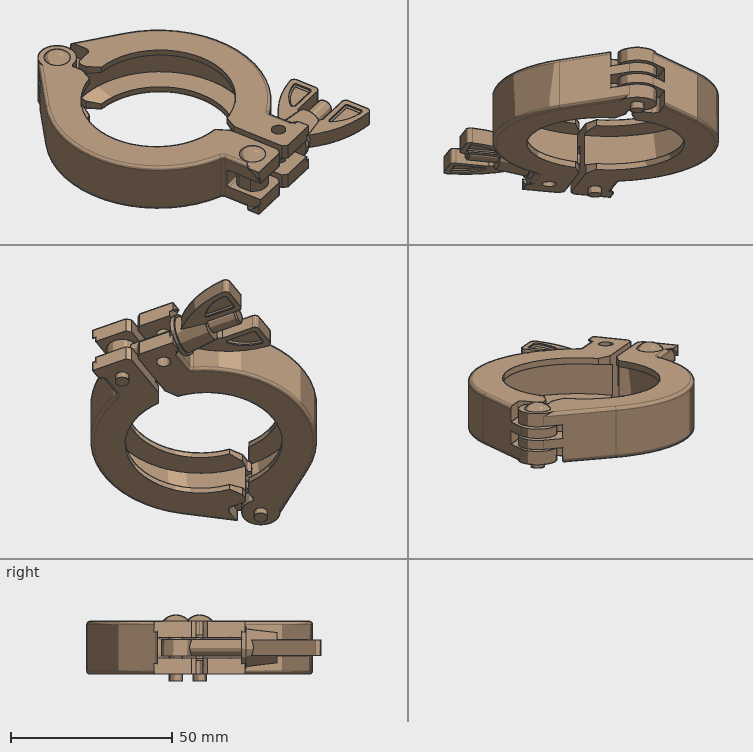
import cadquery as cq
import math

half_height = 8.2
ring_radius = 35.0
half_gap = 1.1
bore_radius = 23.3
groove_radius = 29.3
lip_edge = 2.0
groove_rise = 1.3
edge_radius = 1.1
outer_edge_limit_y = -9.8

bevel_x = 27.45
bevel_run = 4.3
bevel_drop = 2.3

hinge_x = -37.4
knuckle_radius = 6.0
pocket_x = -30.8
pocket_depth = 8.6
pocket_mouth_round = 1.7
knuckle_fillet = 1.0
lower_half_pockets = [(-half_height, -3.3, 2.15), (-0.4, 4.0, None)]
upper_half_pockets = [(-3.9, 0.3, None), (3.2, half_height, 1.7)]

boss_x = 46.5
boss_chamfer = 1.4
wall_y = 13.0
lip_y = 14.1
lip_start_x = 40.7
lip_full_x = 42.5
spotface_radius = 8.3
slot_end_x = 34.1
slot_height = 6.4
slot_fillet = 0.6
bolt_x = 39.8
bolt_hole_y = 7.3
open_hole_diameter = 4.4

rivet_diameter = 4.2
rivet_bottom = -10.4
head_diameter = 8.1
head_height = 2.0

bolt_diameter = 5.2
bolt_end_y = 33.8
bolt_chamfer = 0.5
eye_diameter = 10.0
eye_height = 5.2
eye_flat = 4.5

washer_diameter = 13.0
washer_top_y = 14.4

hub_bottom_radius = 5.9
hub_top_radius = 4.7
hub_top_y = 24.0
wing_top_y = 37.5
wing_inner = 4.6
wing_outer = 14.7
wing_curve_middle = (12.0, 26.2)
wing_tip = (4.9, 15.9)
wing_root_width = 1.0
wing_root_height = 1.4
wing_thickness = 4.9
wing_round = 1.5
recess_depth = 1.0
recess_bevel = 0.5
recess_round = 0.7
recess_outer = 12.6
recess_top_y = 35.8
recess_arc_middle = (11.2, 30.3)
recess_arc_end = (6.35, 25.1)


def prism(outline, bottom, top):
    """Extrude a closed XY outline between two heights."""
    return outline.extrude(top - bottom).translate((0, 0, bottom))


def cylinder_z(x, y, diameter, bottom, top):
    return prism(cq.Workplane("XY").center(x, y).circle(diameter / 2), bottom, top)


def cylinder_y(diameter, start_y, end_y):
    """Cylinder on the bolt axis, which runs along Y."""
    return (
        cq.Workplane("XZ", origin=(bolt_x, start_y, 0))
        .circle(diameter / 2)
        .extrude(start_y - end_y)
    )


def half_blank():
    """Ring, flank and boss of the lower half, with rounded outer edges."""
    normal_angle = math.acos((ring_radius - knuckle_radius) / -hinge_x)
    normal_x = -math.cos(normal_angle)
    normal_y = -math.sin(normal_angle)
    wall_start_x = math.sqrt(ring_radius**2 - wall_y**2)
    outline = (
        cq.Workplane("XY")
        .moveTo(hinge_x, -half_gap)
        .lineTo(hinge_x + knuckle_radius * normal_x, knuckle_radius * normal_y)
        .lineTo(ring_radius * normal_x, ring_radius * normal_y)
        .threePointArc((0, -ring_radius), (wall_start_x, -wall_y))
        .lineTo(boss_x, -wall_y)
        .lineTo(boss_x, -half_gap)
        .close()
    )
    blank = prism(outline, -half_height, half_height)
    blank = blank.edges(cq.NearestToPointSelector((wall_start_x, -wall_y, 0))).fillet(edge_radius)
    outer_edges = [
        edge
        for edge in blank.faces("<Z or >Z").edges().vals()
        if edge.positionAt(0.5).y < outer_edge_limit_y
    ]
    return blank.newObject(outer_edges).fillet(edge_radius)


def boss_lip():
    """Raised end of the boss, cut back by the spotface around the bolt."""
    outline = cq.Workplane("XY").polyline(
        [
            (lip_start_x, edge_radius - wall_y),
            (lip_full_x, -lip_y),
            (boss_x, -lip_y),
            (boss_x, edge_radius - wall_y),
        ]
    ).close()
    return prism(outline, -half_height, half_height).cut(
        cylinder_y(2 * spotface_radius, -lip_y, -wall_y)
    )


def bore():
    """Bore with a sloping-sided groove between its two lips."""
    lip_z = half_height - lip_edge
    groove_z = lip_z - groove_rise
    profile = cq.Workplane("XZ", origin=(0, -half_gap, 0)).polyline(
        [
            (0, -half_height),
            (bore_radius, -half_height),
            (bore_radius, -lip_z),
            (groove_radius, -groove_z),
            (groove_radius, groove_z),
            (bore_radius, lip_z),
            (bore_radius, half_height),
            (0, half_height),
        ]
    ).close()
    return profile.revolve(360, (0, 0, 0), (0, 1, 0))


def lead_in(side):
    """Wedge that bevels the bore lips beside one mating face."""
    inner_x = bevel_x - 2 * bevel_run
    outline = cq.Workplane("XY").polyline(
        [
            (side * bevel_x, -half_gap),
            (side * inner_x, -half_gap - 2 * bevel_drop),
            (side * inner_x, -half_gap),
        ]
    ).close()
    return prism(outline, -half_height, half_height)


def hinge_pocket(bottom, top, corner_round):
    """Clearance around a knuckle of the other half."""
    outside_x = hinge_x - 2 * knuckle_radius
    mouth_x = pocket_x + pocket_mouth_round
    outline = (
        cq.Workplane("XY")
        .moveTo(outside_x, -pocket_depth)
        .lineTo(pocket_x, -pocket_depth)
        .lineTo(pocket_x, -half_gap - pocket_mouth_round)
        .radiusArc((mouth_x, -half_gap), pocket_mouth_round)
        .lineTo(mouth_x, knuckle_radius)
        .lineTo(outside_x, knuckle_radius)
        .close()
    )
    pocket = prism(outline, bottom, top)
    if corner_round:
        middle = (bottom + top) / 2
        corner = cq.NearestToPointSelector((pocket_x, -pocket_depth, middle))
        pocket = pocket.edges(corner).fillet(corner_round)
    return pocket


def clamp_half(pockets, boss_hole_diameter):
    """Lower clamp half; the upper half is its mirror image with other pockets."""
    half = half_blank().union(boss_lip())
    half = half.edges(cq.NearestToPointSelector((boss_x, -half_gap, 0))).chamfer(boss_chamfer)
    half = half.union(cylinder_z(hinge_x, 0, 2 * knuckle_radius, -half_height, half_height))
    knuckle_root_x = hinge_x + math.sqrt(knuckle_radius**2 - half_gap**2)
    half = half.edges(cq.NearestToPointSelector((knuckle_root_x, -half_gap, 0))).fillet(knuckle_fillet)
    half = half.cut(bore())
    for side in (-1, 1):
        half = half.cut(lead_in(side))
    for bottom, top, corner_round in pockets:
        half = half.cut(hinge_pocket(bottom, top, corner_round))
    half = half.cut(cylinder_z(hinge_x, 0, rivet_diameter, -half_height, half_height))
    half = half.cut(cylinder_z(bolt_x, -bolt_hole_y, boss_hole_diameter, -half_height, half_height))
    slot = cq.Workplane("XY").box(boss_x - slot_end_x, lip_y, slot_height, centered=(False, False, True))
    slot = slot.edges("<X and |Y").fillet(slot_fillet)
    return half.cut(slot.translate((slot_end_x, -lip_y, 0)))


def rivet(x, y):
    """Rivet with a domed head resting on the clamp."""
    dome_radius = ((head_diameter / 2) ** 2 + head_height**2) / (2 * head_height)
    head_top = half_height + head_height
    dome = cq.Workplane("XY").sphere(dome_radius).translate((x, y, head_top - dome_radius))
    head = dome.intersect(cylinder_z(x, y, head_diameter, half_height, head_top))
    return head.union(cylinder_z(x, y, rivet_diameter, rivet_bottom, half_height))


def swing_bolt():
    """Bolt whose flat-ended eye turns on the boss rivet."""
    eye = cylinder_z(bolt_x, -bolt_hole_y, eye_diameter, -eye_height / 2, eye_height / 2)
    beyond_flat = cq.Workplane("XY").box(eye_diameter, eye_diameter, eye_height)
    eye = eye.cut(beyond_flat.translate((bolt_x, -bolt_hole_y - eye_flat - eye_diameter / 2, 0)))
    shank = cylinder_y(bolt_diameter, -bolt_hole_y, bolt_end_y).faces(">Y").chamfer(bolt_chamfer)
    hole = cylinder_z(bolt_x, -bolt_hole_y, rivet_diameter, -bolt_diameter, bolt_diameter)
    return eye.union(shank).cut(hole)


def washer():
    """Flat ring between the boss wall and the nut."""
    ring = cylinder_y(washer_diameter, wall_y, washer_top_y)
    return ring.cut(cylinder_y(bolt_diameter, wall_y, washer_top_y))


def wing():
    """Wing on the +X side of the nut, with a recess in both faces."""
    outline = (
        cq.Workplane("XY")
        .moveTo(0, hub_top_y)
        .lineTo(wing_inner - wing_root_width, hub_top_y)
        .lineTo(wing_inner, hub_top_y + wing_root_height)
        .lineTo(wing_inner, wing_top_y)
        .lineTo(wing_outer, wing_top_y)
        .threePointArc(wing_curve_middle, wing_tip)
        .lineTo(0, wing_tip[1])
        .close()
    )
    body = prism(outline, -wing_thickness / 2, wing_thickness / 2)
    for corner_x in (wing_inner, wing_outer):
        body = body.edges(cq.NearestToPointSelector((corner_x, wing_top_y, 0))).fillet(wing_round)
    recess = (
        cq.Workplane("XY", origin=(0, 0, wing_thickness / 2))
        .moveTo(recess_arc_end[0], recess_top_y)
        .lineTo(recess_outer, recess_top_y)
        .threePointArc(recess_arc_middle, recess_arc_end)
        .close()
        .extrude(-recess_depth)
        .edges("|Z")
        .fillet(recess_round)
        .faces("<Z")
        .chamfer(recess_bevel)
    )
    return body.cut(recess).cut(recess.mirror("XY"))


def wing_nut():
    """Conical hub with two wings, seated on the washer."""
    hub = (
        cq.Workplane("XY")
        .polyline(
            [
                (0, washer_top_y),
                (hub_bottom_radius, washer_top_y),
                (hub_top_radius, hub_top_y),
                (0, hub_top_y),
            ]
        )
        .close()
        .revolve(360, (0, 0, 0), (0, 1, 0))
    )
    nut = hub.union(wing()).union(wing().mirror("YZ")).translate((bolt_x, 0, 0))
    return nut.cut(cylinder_y(bolt_diameter, washer_top_y, bolt_end_y))


lower_half = clamp_half(lower_half_pockets, rivet_diameter)
upper_half = clamp_half(upper_half_pockets, open_hole_diameter).mirror("XZ")
rivets = [rivet(x, y) for x, y in ((hinge_x, 0), (bolt_x, -bolt_hole_y))]

result = cq.Compound.makeCompound(
    [
        lower_half.val(),
        upper_half.val(),
        *[pin.val() for pin in rivets],
        swing_bolt().val(),
        washer().val(),
        wing_nut().val(),
    ]
)